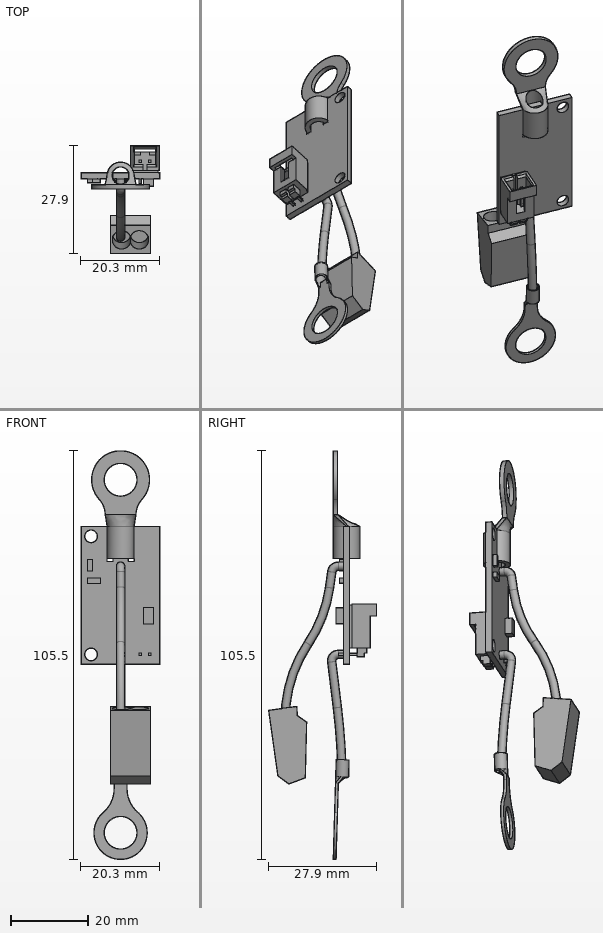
import cadquery as cq
import math


BOARD_W = 20.32
BOARD_H = 35.56
BOARD_T = 1.6
MOUNT_HOLE_D = 3.2
MOUNT_HOLE_INSET = 2.54
CHIPS = [
    (-8.6, 24.1, 1.4, 3.0, 1.0),
    (-8.6, 20.9, 3.4, 1.4, 1.0),
    (5.85, 10.4, 2.7, 4.2, 1.9),
]

LARGE_RING_R = 7.5
LARGE_PLATE_T = 1.2
LARGE_NECK_W = 8.0
LARGE_FLARE_R = 6.0
LARGE_BARREL_R = 3.5
LARGE_BORE_R = 2.2
LARGE_BARREL_LEN = 8.3
LARGE_TRANSITION_LEN = 3.1
LARGE_RING_RISE = 12.06
LARGE_FRONT_Y = -2.65
SLOT_DEPTH = 9.0
TONGUE_W = 4.0

SMALL_RING_R = 6.9
SMALL_PLATE_T = 0.8
SMALL_NECK_W = 3.4
SMALL_FLARE_R = 8.0
SMALL_BARREL_R = 1.7
SMALL_BORE_R = 1.4
SMALL_BARREL_LEN = 4.4
SMALL_TRANSITION_LEN = 1.7
SMALL_BARREL_TO_RING = 14.5
SMALL_RING_Y = -2.43
SMALL_RING_Z = -43.47
SMALL_TILT = 1.7

STUD_HOLE_R = 4.2

WIRE_R = 1.1
WIRE_STUB = 1.3
WIRE_BEND_R = 1.7
UPPER_WIRE_Z = 25.3
UPPER_WIRE_TURN = 82.0
UPPER_WIRE_STRAIGHT = 4.1
UPPER_WIRE_ENDS = [(-9.1, 5.3), (-15.0, -14.5)]
LOWER_WIRE_Z = 2.54
LOWER_WIRE_TURN = 97.0
LOWER_WIRE_STRAIGHT = 11.9
LOWER_WIRE_ENDS = [(-0.42, -25.6)]

POWER_W = 10.4
POWER_X = 2.55
POWER_CORNER_Y = -19.3
POWER_CORNER_Z = -11.87
POWER_TILT = 8.0
POWER_OUTLINE = [
    (0.0, 0.0),
    (7.4, 0.0),
    (7.2, 2.4),
    (9.35, 4.4),
    (7.0, 18.6),
    (2.55, 19.6),
    (0.0, 17.1),
]
SOCKET_R = 2.4
SOCKET_PITCH = 4.55
SOCKET_SETBACK = 3.6
SOCKET_DEPTH = 12.0

HEADER_X = 6.3
HEADER_W = 7.4
HEADER_LEN = 11.45
HEADER_TOP_Z = 15.6
HEADER_DEPTH = 6.4
HEADER_GAP = 0.6
HOOD_LEN = 3.2
HOOD_OVERHANG = 1.6
HOOD_WALL = 0.95
SIDE_WALL = 0.95
BOTTOM_WALL = 1.45
REAR_WALL = 0.8
FLOOR_T = 2.5
MOUTH_BEVEL_SIDE = 0.3
MOUTH_BEVEL_FRONT = 0.6
MOUTH_BEVEL_LEN = 0.5
KEY_SLOT_W = 1.0
REAR_SLOT_W = 2.4
FOOT_INSET = 0.3
PIN_W = 0.64
PIN_PITCH = 2.54
PIN_Y = BOARD_T + 2.9
PIN_Z = 2.54
PIN_TIP_BELOW_MOUTH = 3.0
PIN_PROTRUSION = 1.2
KNUCKLE_W = 1.9
KNUCKLE_STEP = 0.65
KNUCKLE_STEP_LEN = 1.3
KNUCKLE_LEN = 2.25


def box(x_range, y_range, z_range):
    """A block between the given limits on each axis."""
    x0, x1 = x_range
    y0, y1 = y_range
    z0, z1 = z_range
    return cq.Workplane("XY").box(x1 - x0, y1 - y0, z1 - z0, centered=False).translate((x0, y0, z0))


def centred(middle, width):
    """Limits of a width centred on a place."""
    return (middle - width / 2, middle + width / 2)


PIN_XS = centred(HEADER_X, PIN_PITCH)


def make_board():
    board = box(centred(0, BOARD_W), (0, BOARD_T), (0, BOARD_H))

    hole_x = MOUNT_HOLE_INSET - BOARD_W / 2
    for hole_z in (MOUNT_HOLE_INSET, BOARD_H - MOUNT_HOLE_INSET):
        hole = cq.Workplane("XZ").center(hole_x, hole_z).circle(MOUNT_HOLE_D / 2).extrude(-BOARD_T)
        board = board.cut(hole)

    for x0, x1 in ((-LARGE_BARREL_R, -TONGUE_W / 2), (TONGUE_W / 2, LARGE_BARREL_R)):
        board = board.cut(box((x0, x1), (0, BOARD_T), (BOARD_H - SLOT_DEPTH, BOARD_H)))

    for pin_x in PIN_XS:
        board = board.cut(box(centred(pin_x, PIN_W), (0, BOARD_T), centred(PIN_Z, PIN_W)))

    for x, z, width, height, thickness in CHIPS:
        board = board.union(box((x, x + width), (-thickness, 0), (z, z + height)))
    return board


def make_ring_terminal(ring_r, plate_t, neck_w, flare_r, barrel_r, bore_r, barrel_len,
                       transition_len, barrel_to_ring):
    """Ring centred on the origin with its front face at Y = 0 and its barrel hanging towards -Z."""
    neck_end = transition_len - barrel_to_ring
    half_neck = neck_w / 2

    reach = ring_r + flare_r
    flare_x = half_neck + flare_r
    flare_z = -math.sqrt(reach**2 - flare_x**2)
    rim_x = flare_x * ring_r / reach
    rim_z = flare_z * ring_r / reach
    half_angle = math.atan2(-flare_z, flare_x) / 2
    mid_x = flare_x - flare_r * math.cos(half_angle)
    mid_z = flare_z + flare_r * math.sin(half_angle)
    plate = (
        cq.Workplane("XZ")
        .moveTo(rim_x, rim_z)
        .threePointArc((0, ring_r), (-rim_x, rim_z))
        .threePointArc((-mid_x, mid_z), (-half_neck, flare_z))
        .lineTo(-half_neck, neck_end)
        .lineTo(half_neck, neck_end)
        .lineTo(half_neck, flare_z)
        .threePointArc((mid_x, mid_z), (rim_x, rim_z))
        .close()
        .extrude(-plate_t)
    )
    stud_hole = cq.Workplane("XZ").circle(STUD_HOLE_R).extrude(-plate_t)

    transition = (
        cq.Workplane("XY", origin=(0, 0, -barrel_to_ring))
        .center(0, barrel_r)
        .circle(barrel_r)
        .workplane(offset=transition_len)
        .center(0, plate_t / 2 - barrel_r)
        .rect(neck_w, plate_t)
        .loft(ruled=True)
    )
    barrel_axis = cq.Workplane("XY", origin=(0, barrel_r, -barrel_to_ring - barrel_len))
    barrel = barrel_axis.circle(barrel_r).extrude(barrel_len)

    behind_plate = box(centred(0, neck_w), (plate_t, 2 * barrel_r), (-barrel_to_ring, neck_end))
    barrel_bore = barrel_axis.circle(bore_r).extrude(barrel_len)
    through_bore = barrel_axis.circle(bore_r).extrude(barrel_len + transition_len)
    bore = barrel_bore.union(through_bore.intersect(behind_plate))
    return plate.cut(stud_hole).union(transition).union(barrel).cut(bore)


def make_large_terminal():
    terminal = make_ring_terminal(
        LARGE_RING_R, LARGE_PLATE_T, LARGE_NECK_W, LARGE_FLARE_R, LARGE_BARREL_R, LARGE_BORE_R,
        LARGE_BARREL_LEN, LARGE_TRANSITION_LEN, LARGE_RING_RISE,
    )
    return terminal.translate((0, LARGE_FRONT_Y, BOARD_H + LARGE_RING_RISE))


def make_small_terminal():
    terminal = make_ring_terminal(
        SMALL_RING_R, SMALL_PLATE_T, SMALL_NECK_W, SMALL_FLARE_R, SMALL_BARREL_R, SMALL_BORE_R,
        SMALL_BARREL_LEN, SMALL_TRANSITION_LEN, SMALL_BARREL_TO_RING,
    )
    ring_down = terminal.rotate((0, 0, 0), (0, 1, 0), 180)
    tilted = ring_down.rotate((0, 0, 0), (1, 0, 0), -SMALL_TILT)
    return tilted.translate((0, SMALL_RING_Y, SMALL_RING_Z))


def make_wire(start_z, turn, straight, arc_ends):
    """Wire leaving the board's front face, turning downwards and following tangent arcs."""
    angle = math.radians(turn)

    def on_bend(a):
        return (-WIRE_STUB - WIRE_BEND_R * math.sin(a), start_z - WIRE_BEND_R * (1 - math.cos(a)))

    path = (
        cq.Workplane("YZ")
        .moveTo(0, start_z)
        .lineTo(-WIRE_STUB, start_z)
        .threePointArc(on_bend(angle / 2), on_bend(angle))
        .line(-straight * math.cos(angle), -straight * math.sin(angle))
    )
    for arc_end in arc_ends:
        path = path.tangentArcPoint(arc_end, relative=False)
    return cq.Workplane("XZ").center(0, start_z).circle(WIRE_R).sweep(path)


def make_power_connector():
    """Housing built upright with its top front corner at Y = Z = 0, then tilted into place."""
    outline = [(back, -down) for back, down in POWER_OUTLINE]
    housing = cq.Workplane("YZ").polyline(outline).close().extrude(POWER_W / 2, both=True)
    for socket_x in centred(0, SOCKET_PITCH):
        socket = cq.Workplane("XY").center(socket_x, SOCKET_SETBACK).circle(SOCKET_R).extrude(-SOCKET_DEPTH)
        housing = housing.cut(socket)
    tilted = housing.rotate((0, 0, 0), (1, 0, 0), POWER_TILT)
    return tilted.translate((POWER_X, POWER_CORNER_Y, POWER_CORNER_Z))


def make_header():
    """Side-entry housing open at the top, with two pins bent through the board."""
    front_y = BOARD_T + HEADER_GAP
    hood_y = front_y + HEADER_DEPTH
    rear_y = hood_y - HOOD_OVERHANG
    bottom_z = HEADER_TOP_Z - HEADER_LEN
    hood_z = HEADER_TOP_Z - HOOD_LEN
    floor_z = bottom_z + FLOOR_T
    outer_x = centred(HEADER_X, HEADER_W)
    cavity_w = HEADER_W - 2 * SIDE_WALL
    inner_x = centred(HEADER_X, cavity_w)
    cavity_y = front_y + BOTTOM_WALL

    housing = box(outer_x, (front_y, rear_y), (bottom_z, HEADER_TOP_Z))
    housing = housing.union(box(outer_x, (rear_y, hood_y), (hood_z, HEADER_TOP_Z)))
    foot_x = centred(HEADER_X, HEADER_W - 2 * FOOT_INSET)
    housing = housing.union(box(foot_x, (BOARD_T, front_y), (bottom_z, HEADER_TOP_Z - FOOT_INSET)))

    housing = housing.cut(box(inner_x, (cavity_y, rear_y - REAR_WALL), (floor_z, hood_z)))
    housing = housing.cut(box(inner_x, (cavity_y, hood_y - HOOD_WALL), (hood_z, HEADER_TOP_Z)))
    mouth_d = hood_y - HOOD_WALL - cavity_y
    mouth = (
        cq.Workplane("XY", origin=(HEADER_X, cavity_y + mouth_d / 2, HEADER_TOP_Z))
        .rect(cavity_w + 2 * MOUTH_BEVEL_SIDE, mouth_d + 2 * MOUTH_BEVEL_FRONT)
        .workplane(offset=-MOUTH_BEVEL_LEN)
        .rect(cavity_w, mouth_d)
        .loft(ruled=True)
    )
    housing = housing.cut(mouth)
    key_x = centred(HEADER_X, KEY_SLOT_W)
    housing = housing.cut(box(key_x, (front_y, cavity_y), (floor_z, HEADER_TOP_Z)))
    rear_slot_x = centred(HEADER_X, REAR_SLOT_W)
    housing = housing.cut(box(rear_slot_x, (rear_y - REAR_WALL, rear_y), (floor_z, hood_z)))

    for pin_x in PIN_XS:
        pin_sides = centred(pin_x, PIN_W)
        tip_z = HEADER_TOP_Z - PIN_TIP_BELOW_MOUTH
        housing = housing.union(box(pin_sides, centred(PIN_Y, PIN_W), (bottom_z, tip_z)))
        housing = housing.union(box(pin_sides, (-PIN_PROTRUSION, PIN_Y), centred(PIN_Z, PIN_W)))
        knuckle_x = centred(pin_x, KNUCKLE_W)
        y0, y1 = centred(PIN_Y, KNUCKLE_W)
        housing = housing.union(box(knuckle_x, (y0, y1), (bottom_z - KNUCKLE_LEN, bottom_z)))
        step_z = (bottom_z - KNUCKLE_STEP_LEN, bottom_z)
        housing = housing.union(box(knuckle_x, (y0, y1 + KNUCKLE_STEP), step_z))
    return housing


board = make_board()
large_terminal = make_large_terminal()
small_terminal = make_small_terminal()
upper_wire = make_wire(UPPER_WIRE_Z, UPPER_WIRE_TURN, UPPER_WIRE_STRAIGHT, UPPER_WIRE_ENDS)
lower_wire = make_wire(LOWER_WIRE_Z, LOWER_WIRE_TURN, LOWER_WIRE_STRAIGHT, LOWER_WIRE_ENDS)
power_connector = make_power_connector()
header = make_header()

bodies = [board, large_terminal, small_terminal, upper_wire, lower_wire, power_connector, header]
result = cq.Compound.makeCompound([body.solids().val() for body in bodies])